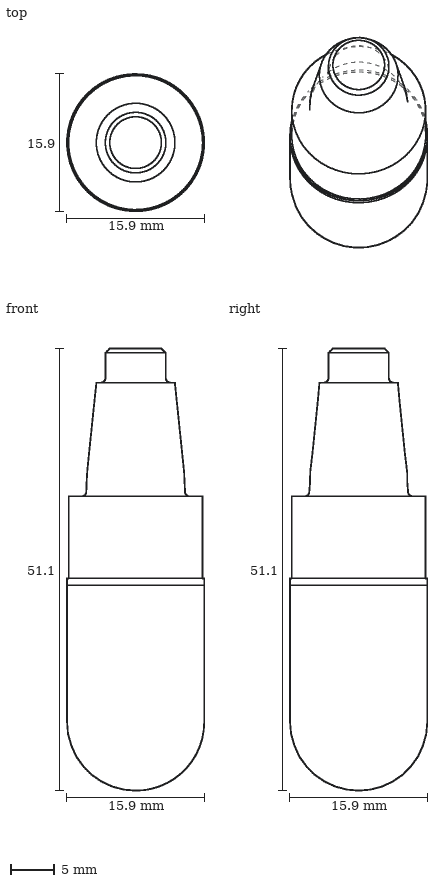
import cadquery as cq
import math

total_height = 51.1
handle_diameter = 15.9

seam_z = 23.75
collar_top_z = 24.55
shoulder_z = 34.05
taper_break_z = 36.8
taper_top_z = 47.15

barrel_diameter = 15.5
neck_base_diameter = 11.45
taper_break_diameter = 11.25
taper_top_diameter = 9.1
tip_diameter = 7.0

edge_size = 0.5

arc_inset = 1 - math.sqrt(0.5)


def add_foot_fillet(profile, radius, level):
    """Continue a profile along a shoulder and up a concave fillet onto a given radius."""
    return (
        profile.lineTo(radius + edge_size, level)
        .threePointArc(
            (radius + edge_size * arc_inset, level + edge_size * arc_inset),
            (radius, level + edge_size),
        )
    )


def make_handle():
    """Cylindrical lower body with a hemispherical bottom end."""
    radius = handle_diameter / 2
    dome_mid = radius * math.sqrt(0.5)
    profile = (
        cq.Workplane("XZ")
        .moveTo(0, 0)
        .threePointArc((dome_mid, radius - dome_mid), (radius, radius))
        .lineTo(radius, seam_z)
        .lineTo(0, seam_z)
        .close()
    )
    return profile.revolve(360, (0, 0, 0), (0, 1, 0))


def make_head():
    """Upper body: collar, barrel, tapered neck and chamfered tip."""
    tip_radius = tip_diameter / 2
    profile = (
        cq.Workplane("XZ")
        .moveTo(0, seam_z)
        .lineTo(handle_diameter / 2, seam_z)
        .lineTo(handle_diameter / 2, collar_top_z)
        .lineTo(barrel_diameter / 2, collar_top_z)
        .lineTo(barrel_diameter / 2, shoulder_z)
    )
    profile = add_foot_fillet(profile, neck_base_diameter / 2, shoulder_z)
    profile = (
        profile.lineTo(taper_break_diameter / 2, taper_break_z)
        .lineTo(taper_top_diameter / 2, taper_top_z)
    )
    profile = add_foot_fillet(profile, tip_radius, taper_top_z)
    profile = (
        profile.lineTo(tip_radius, total_height - edge_size)
        .lineTo(tip_radius - edge_size, total_height)
        .lineTo(0, total_height)
        .close()
    )
    return profile.revolve(360, (0, 0, 0), (0, 1, 0))


handle = make_handle()
head = make_head()

result = cq.Compound.makeCompound([handle.val(), head.val()])